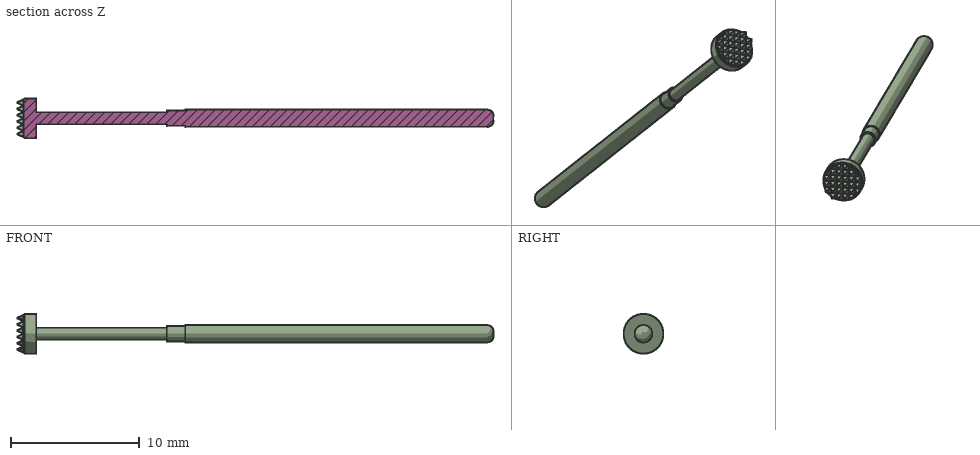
import cadquery as cq

total_length = 37.08

head_diameter = 3.1
crown_diameter = 2.93
head_back = 1.5
teeth_across = 6
tooth_pitch = crown_diameter / teeth_across
tooth_height = 0.5
tooth_tip_width = 0.07
head_chamfer = (head_diameter - crown_diameter) / 2

shaft_diameter = 0.95
collar_diameter = 1.22
collar_start = 11.65

barrel_diameter = 1.37
barrel_start = 13.1
barrel_end_radius = 0.52


def cylinder(diameter, start, end):
    """Cylinder on the X axis between two positions."""
    return cq.Workplane("YZ").workplane(offset=start).circle(diameter / 2).extrude(end - start)


def make_groove():
    """V groove along Z, open at the front face and centred on the X axis."""
    half_width = (tooth_pitch - tooth_tip_width) / 2
    return (
        cq.Workplane("XY")
        .polyline([(0, -half_width), (tooth_height, 0), (0, half_width)])
        .close()
        .extrude(head_diameter / 2, both=True)
    )


def make_crown():
    """Round crown cut into small flat-tipped pyramids by V grooves crossing at right angles."""
    crown = cylinder(crown_diameter, 0, tooth_height)
    groove = make_groove()
    for index in range(teeth_across + 1):
        offset = (index - teeth_across / 2) * tooth_pitch
        groove_along_z = groove.translate((0, offset, 0))
        groove_along_y = groove_along_z.rotate((0, 0, 0), (1, 0, 0), 90)
        crown = crown.cut(groove_along_z).cut(groove_along_y)
    return crown


def make_head():
    """Rim disc with a chamfered front edge and the toothed crown in front of it."""
    rim = cylinder(head_diameter, tooth_height, head_back).faces("<X").chamfer(head_chamfer)
    return rim.union(make_crown())


def make_barrel():
    """Barrel with a rounded closed end."""
    barrel = cylinder(barrel_diameter, barrel_start, total_length)
    return barrel.faces(">X").edges().fillet(barrel_end_radius)


shaft = cylinder(shaft_diameter, head_back, collar_start)
collar = cylinder(collar_diameter, collar_start, barrel_start)
result = make_head().union(shaft).union(collar).union(make_barrel())